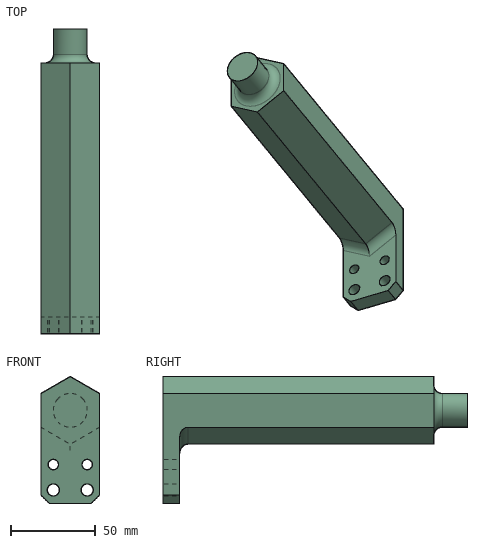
import cadquery as cq
import math

hex_radius = 20.0
half_width = hex_radius * math.cos(math.pi / 6)
shoulder_height = hex_radius / 2
bar_length = 160.0

stub_radius = 10.0
stub_length = 20.0

arm_thickness = 10.0
arm_bottom = -55.0
corner_chamfer = 5.0

root_fillet = 5.0

hole_offset = 10.0
hole_rows = [(8.0, 7.0), (23.0, 6.0)]


def extrude_back(outline, length):
    """Close an XZ outline and extrude it from Y = 0 toward +Y."""
    return cq.Workplane("XZ").polyline(outline).close().extrude(-length)


def make_bar():
    return extrude_back(
        [
            (0, hex_radius),
            (half_width, shoulder_height),
            (half_width, -shoulder_height),
            (0, -hex_radius),
            (-half_width, -shoulder_height),
            (-half_width, shoulder_height),
        ],
        bar_length,
    )


def make_arm():
    foot_half_width = half_width - corner_chamfer
    corner_top = arm_bottom + corner_chamfer
    return extrude_back(
        [
            (0, hex_radius),
            (half_width, shoulder_height),
            (half_width, corner_top),
            (foot_half_width, arm_bottom),
            (-foot_half_width, arm_bottom),
            (-half_width, corner_top),
            (-half_width, shoulder_height),
        ],
        arm_thickness,
    )


def fillet_arm_root(body):
    """Round the inside corner where the two lower bar faces meet the arm."""
    margin = 0.1
    corner_zone = cq.selectors.BoxSelector(
        (-half_width, arm_thickness - margin, -hex_radius),
        (half_width, arm_thickness + margin, -shoulder_height),
    )
    return body.edges(corner_zone).fillet(root_fillet)


def make_stub():
    """Revolved stub with a concave flare at its root."""
    profile = (
        cq.Workplane("XY")
        .moveTo(0, bar_length)
        .lineTo(stub_radius + root_fillet, bar_length)
        .radiusArc((stub_radius, bar_length + root_fillet), root_fillet)
        .lineTo(stub_radius, bar_length + stub_length)
        .lineTo(0, bar_length + stub_length)
        .close()
    )
    return profile.revolve(360, (0, 0, 0), (0, 1, 0))


def drill_holes(body):
    for height, diameter in hole_rows:
        drill = (
            cq.Workplane("XZ")
            .pushPoints([(side * hole_offset, arm_bottom + height) for side in (-1, 1)])
            .circle(diameter / 2)
            .extrude(-arm_thickness)
        )
        body = body.cut(drill)
    return body


result = make_bar().union(make_arm())
result = fillet_arm_root(result)
result = result.union(make_stub())
result = drill_holes(result)